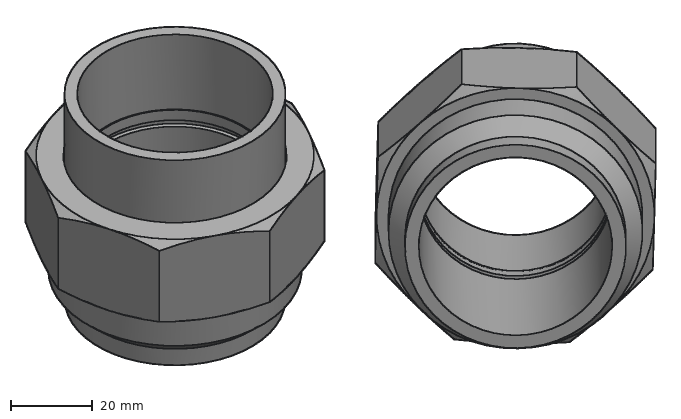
import cadquery as cq
import math

total_height = 63.0
tail_length = 26.1
gasket_thickness = 2.0
body_height = total_height - tail_length - gasket_thickness
tail_bottom = total_height - tail_length

pipe_radius = 27.05
bore_radius = 23.65

socket_radius = 23.95
socket_depth = 23.0

gasket_inner_radius = 24.9

shoulder_radius = 31.1
collar_height = 5.0
cone_height = 4.0

nut_sides = 8
nut_across_flats = 68.0
nut_height = 25.0
nut_bottom = 19.0
nut_clearance = 0.3
nut_chamfer_angle = 30.0
nut_hole_radius = pipe_radius + nut_clearance


def make_body():
    """Lower tube whose conical shoulder widens into the nut."""
    cone_top = collar_height + cone_height
    return (
        cq.Workplane("XZ")
        .moveTo(bore_radius, 0)
        .lineTo(pipe_radius, 0)
        .lineTo(pipe_radius, collar_height)
        .lineTo(shoulder_radius, cone_top)
        .lineTo(shoulder_radius, body_height)
        .lineTo(bore_radius, body_height)
        .close()
        .revolve(360, (0, 0, 0), (0, 1, 0))
    )


def make_gasket():
    """Flat ring held between the body and the tailpiece."""
    return (
        cq.Workplane("XY")
        .workplane(offset=body_height)
        .circle(pipe_radius)
        .circle(gasket_inner_radius)
        .extrude(gasket_thickness)
    )


def make_tailpiece():
    """Upper tube with a pipe socket ending on a narrow inner step."""
    tube = (
        cq.Workplane("XY")
        .workplane(offset=tail_bottom)
        .circle(pipe_radius)
        .circle(bore_radius)
        .extrude(tail_length)
    )
    socket = (
        cq.Workplane("XY")
        .workplane(offset=total_height - socket_depth)
        .circle(socket_radius)
        .extrude(socket_depth)
    )
    return tube.cut(socket)


def make_nut_chamfer_envelope():
    """Turned shape that bevels the octagon corners at both ends."""
    flat_radius = nut_across_flats / 2
    corner_radius = flat_radius / math.cos(math.pi / nut_sides)
    chamfer_drop = (corner_radius - flat_radius) * math.tan(math.radians(nut_chamfer_angle))
    nut_top = nut_bottom + nut_height
    return (
        cq.Workplane("XZ")
        .moveTo(0, nut_bottom)
        .lineTo(flat_radius, nut_bottom)
        .lineTo(corner_radius, nut_bottom + chamfer_drop)
        .lineTo(corner_radius, nut_top - chamfer_drop)
        .lineTo(flat_radius, nut_top)
        .lineTo(0, nut_top)
        .close()
        .revolve(360, (0, 0, 0), (0, 1, 0))
    )


def make_nut():
    """Octagonal nut around the tailpiece, recessed below for the body."""
    base = cq.Workplane("XY").workplane(offset=nut_bottom)
    octagon = (
        base.polygon(nut_sides, nut_across_flats, circumscribed=True)
        .extrude(nut_height)
    )
    hole = base.circle(nut_hole_radius).extrude(nut_height)
    body_recess = base.circle(shoulder_radius).extrude(body_height - nut_bottom)
    return octagon.intersect(make_nut_chamfer_envelope()).cut(hole).cut(body_recess)


body = make_body()
gasket = make_gasket()
tailpiece = make_tailpiece()
nut = make_nut()

result = cq.Compound.makeCompound([body.val(), gasket.val(), tailpiece.val(), nut.val()])